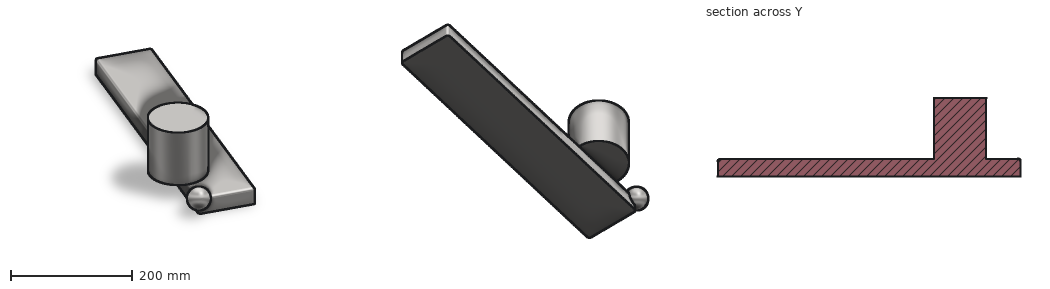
import cadquery as cq

bar_length = 500.0
bar_width = 100.0
bar_height = 30.0
edge_radius = 5.0

post_diameter = 100.0
post_height = 100.0
post_x = bar_length - post_diameter

ball_radius = 20.0


def make_bar():
    """Flat bar with rounded upright and top edges and a sharp bottom."""
    block = cq.Workplane("XY").box(bar_length, bar_width, bar_height, centered=False)
    return block.edges("|Z or >Z").fillet(edge_radius)


def make_post():
    """Cylinder resting on the top plane of the bar."""
    base = cq.Workplane("XY").workplane(offset=bar_height).center(post_x, 0)
    return base.circle(post_diameter / 2).extrude(post_height)


def make_ball():
    """Sphere around the corner of the bar."""
    return cq.Workplane("XY").sphere(ball_radius).translate((bar_length, 0, bar_height))


result = make_bar().union(make_post()).union(make_ball())